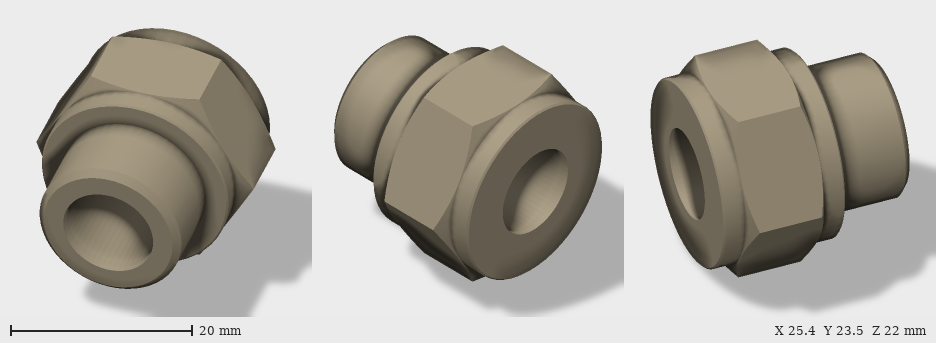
import cadquery as cq
import math

across_corners = 25.4
hex_length = 9.47
hex_bevel_angle = 30.0

collar_diameter = 21.8
collar_length = 2.51
collar_chamfer = 0.2
spigot_diameter = 16.55
spigot_chamfer = 0.8
bore_diameter = 10.5
total_length = 23.5

body_length = hex_length + 2 * collar_length
spigot_length = total_length - body_length


def cylinder(diameter, start, length):
    """Cylinder about the Y axis, running from Y = start toward +Y."""
    return cq.Workplane("XZ", origin=(0, start, 0)).circle(diameter / 2).extrude(-length)


def bevelled_hexagon(start):
    """Hexagonal prism whose corners are turned to a cone at both ends."""
    prism = (
        cq.Workplane("XZ", origin=(0, start, 0))
        .polygon(6, across_corners)
        .extrude(-hex_length)
    )
    corner_radius = across_corners / 2
    face_radius = collar_diameter / 2
    bevel_depth = (corner_radius - face_radius) * math.tan(math.radians(hex_bevel_angle))
    end = start + hex_length
    envelope = (
        cq.Workplane("XY")
        .moveTo(0, start)
        .lineTo(face_radius, start)
        .lineTo(corner_radius, start + bevel_depth)
        .lineTo(corner_radius, end - bevel_depth)
        .lineTo(face_radius, end)
        .lineTo(0, end)
        .close()
        .revolve(360, (0, 0, 0), (0, 1, 0))
    )
    return prism.intersect(envelope)


spigot = cylinder(spigot_diameter, 0, spigot_length).faces("<Y").chamfer(spigot_chamfer)
collars = cylinder(collar_diameter, spigot_length, body_length).faces("<Y or >Y").chamfer(collar_chamfer)
hexagon = bevelled_hexagon(spigot_length + collar_length)
bore = cylinder(bore_diameter, 0, total_length)

result = collars.union(hexagon).union(spigot).cut(bore)